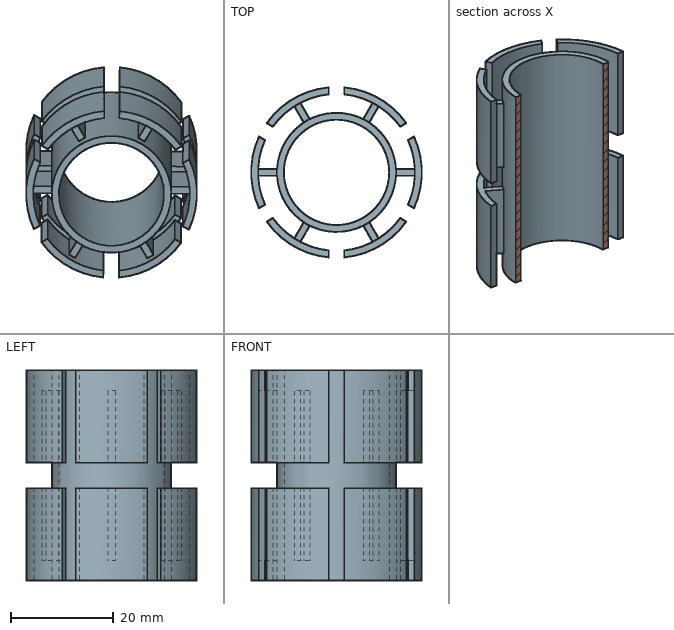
import cadquery as cq

wall_thickness = 1.4
total_height = 41.3
tube_outer_radius = 23.4 / 2
tube_bore_radius = tube_outer_radius - wall_thickness

shell_outer_radius = 33.5 / 2
shell_inner_radius = shell_outer_radius - wall_thickness
segment_count = 6
segment_pitch = 360 / segment_count
slot_width = 3.0
bank_gap = 5.0
bank_height = (total_height - bank_gap) / 2

rib_end_setback = 4.0
rib_height = bank_height - rib_end_setback

rib_inner_radius = tube_outer_radius - wall_thickness / 2
rib_outer_radius = shell_outer_radius - wall_thickness / 2


def make_ring(outer_radius, inner_radius, height):
    """Plain ring standing on the XY plane."""
    return cq.Workplane("XY").circle(outer_radius).circle(inner_radius).extrude(height)


def make_radial_bar(start, end, width, height, angle):
    """Upright bar from radius start to radius end, turned to angle about Z."""
    bar = cq.Workplane("XY").box(end - start, width, height, centered=(False, True, False))
    return bar.translate((start, 0, 0)).rotate((0, 0, 0), (0, 0, 1), angle)


def make_segments():
    """One bank of shell segments, separated by parallel-sided slots."""
    segments = make_ring(shell_outer_radius, shell_inner_radius, bank_height)
    for index in range(segment_count):
        slot_angle = (index + 0.5) * segment_pitch
        slot = make_radial_bar(0, 2 * shell_outer_radius, slot_width, bank_height, slot_angle)
        segments = segments.cut(slot)
    return segments


def add_bank(body, bank_bottom, rib_bottom):
    """Join one bank of segments and its ribs to the body."""
    body = body.union(make_segments().translate((0, 0, bank_bottom)))
    for index in range(segment_count):
        rib_angle = index * segment_pitch
        rib = make_radial_bar(rib_inner_radius, rib_outer_radius, wall_thickness, rib_height, rib_angle)
        body = body.union(rib.translate((0, 0, rib_bottom)))
    return body


tube = make_ring(tube_outer_radius, tube_bore_radius, total_height)

upper_bank_bottom = total_height - bank_height
body = add_bank(tube, bank_bottom=0, rib_bottom=rib_end_setback)
body = add_bank(body, bank_bottom=upper_bank_bottom, rib_bottom=upper_bank_bottom)

result = body